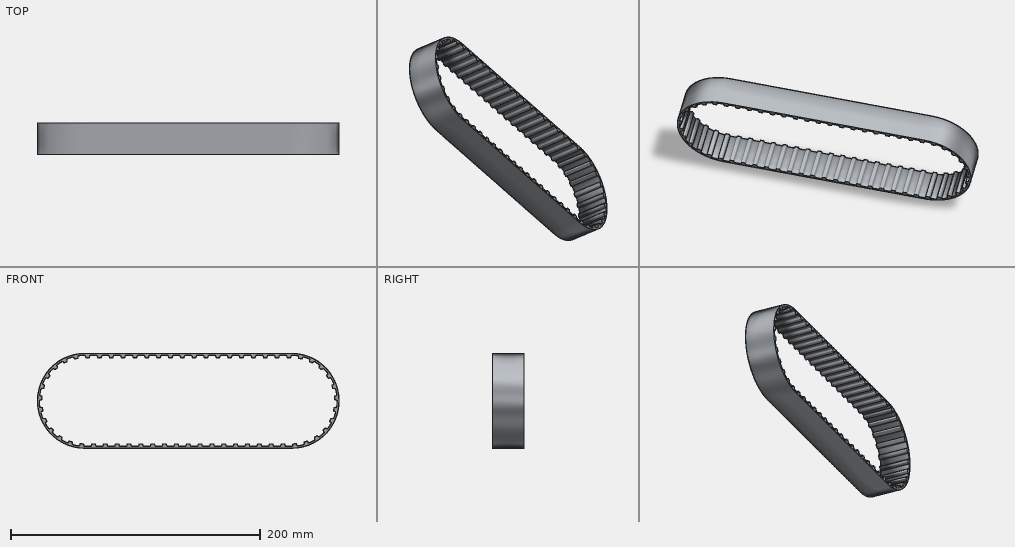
import cadquery as cq
import math

belt_length = 242.3
belt_height = 76.3
belt_width = 25.5
band_thickness = 1.7

tooth_count = 59
tooth_height = 2.0
tooth_root_width = 4.0
flank_angle = 20.0
tooth_fillet = 0.5

outer_radius = belt_height / 2
inner_radius = outer_radius - band_thickness
straight = belt_length - belt_height
half_turn = math.pi * inner_radius
loop_length = 2 * (straight + half_turn)
pitch = loop_length / tooth_count


def loop_solid(radius):
    """Full-width solid bounded by two straights and two half circles."""
    return (
        cq.Workplane("XZ")
        .slot2D(straight + 2 * radius, 2 * radius)
        .extrude(belt_width / 2, both=True)
    )


def belt_station(distance):
    """Return x, z on the inner face and the outward angle in degrees.

    The distance runs clockwise (seen from -Y) along the inner face, starting at the middle
    of the lower straight, towards -X.
    """
    if distance < straight / 2:
        return -distance, -inner_radius, -90.0
    distance -= straight / 2
    if distance < half_turn:
        turn = -math.pi / 2 - distance / inner_radius
        centre_x = -straight / 2
    elif distance < half_turn + straight:
        return distance - half_turn - straight / 2, inner_radius, 90.0
    elif distance < 2 * half_turn + straight:
        turn = math.pi / 2 - (distance - half_turn - straight) / inner_radius
        centre_x = straight / 2
    else:
        return straight / 2 - (distance - 2 * half_turn - straight), -inner_radius, -90.0
    x = centre_x + inner_radius * math.cos(turn)
    return x, inner_radius * math.sin(turn), math.degrees(turn)


def make_tooth():
    """Trapezoidal tooth pointing to -X, its root line on the Z axis and its foot sunk in the band."""
    foot_depth = band_thickness / 2
    foot_half = tooth_root_width / 2 + tooth_fillet
    root_half = tooth_root_width / 2
    tip_half = root_half - tooth_height * math.tan(math.radians(flank_angle))
    profile = [
        (foot_depth, -foot_half),
        (0, -foot_half),
        (0, -root_half),
        (-tooth_height, -tip_half),
        (-tooth_height, tip_half),
        (0, root_half),
        (0, foot_half),
        (foot_depth, foot_half),
    ]
    body = cq.Workplane("XZ").polyline(profile).close().extrude(belt_width / 2, both=True)
    root_edges = cq.selectors.BoxSelector(
        (-tooth_height / 2, -belt_width, -(root_half + foot_half) / 2),
        (foot_depth / 2, belt_width, (root_half + foot_half) / 2),
    )
    body = body.edges("|Y").edges(root_edges).fillet(tooth_fillet)
    return body.faces("<X").edges("|Y").fillet(tooth_fillet)


tooth = make_tooth()
teeth = []
for index in range(tooth_count):
    x, z, angle = belt_station(index * pitch)
    placed = tooth.rotate((0, 0, 0), (0, 1, 0), -angle).translate((x, 0, z))
    teeth.append(placed.val())

band = loop_solid(outer_radius).cut(loop_solid(inner_radius))
result = cq.Workplane(band.val().fuse(*teeth).clean().Solids()[0])